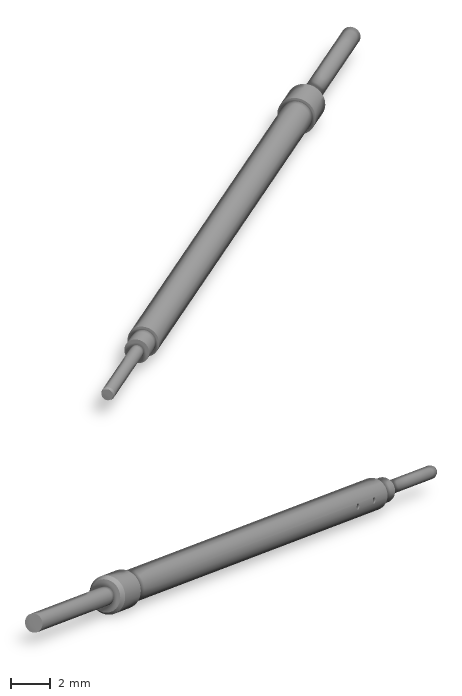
import cadquery as cq


rear_pin_length = 8.0
collar_length = 2.0
collar_bevel_length = 0.25
barrel_length = 28.0
neck_length = 1.2
front_pin_length = 5.4
tip_chamfer_length = 0.15

rear_pin_diameter = 0.98
collar_diameter = 2.0
collar_bevel_diameter = 1.7
barrel_diameter = 1.65
neck_diameter = 1.3
front_pin_diameter = 0.7
tip_flat_diameter = 0.6

dent_diameter = 0.31
dent_depth = 0.2
dent_spacing = 1.8
dent_center_from_barrel_end = 2.4

barrel_end = -barrel_length
neck_end = barrel_end - neck_length
tip_end = neck_end - front_pin_length
collar_end = collar_length
rear_end = collar_end + rear_pin_length


def turned_body():
    """Barrel, collar, neck and both pins, revolved from one half profile."""
    chamfer_end = tip_end + tip_chamfer_length
    bevel_start = collar_end - collar_bevel_length
    steps = [
        (tip_end, tip_flat_diameter, chamfer_end, front_pin_diameter),
        (chamfer_end, front_pin_diameter, neck_end, front_pin_diameter),
        (neck_end, neck_diameter, barrel_end, neck_diameter),
        (barrel_end, barrel_diameter, 0, barrel_diameter),
        (0, collar_diameter, bevel_start, collar_diameter),
        (bevel_start, collar_diameter, collar_end, collar_bevel_diameter),
        (collar_end, rear_pin_diameter, rear_end, rear_pin_diameter),
    ]
    points = [(tip_end, 0)]
    for start, start_diameter, end, end_diameter in steps:
        for point in ((start, start_diameter / 2), (end, end_diameter / 2)):
            if point != points[-1]:
                points.append(point)
    points.append((rear_end, 0))
    profile = cq.Workplane("YZ").polyline(points).close()
    return profile.revolve(360, (0, 0, 0), (1, 0, 0))


def dent_cutter(station):
    """Round cutter reaching into the -X side of the barrel by the dent depth."""
    dent_floor = -barrel_diameter / 2 + dent_depth
    return (
        cq.Workplane("YZ", origin=(dent_floor, station, 0))
        .circle(dent_diameter / 2)
        .extrude(-collar_diameter / 2)
    )


result = turned_body()

dent_center = barrel_end + dent_center_from_barrel_end
for side in (-1, 1):
    result = result.cut(dent_cutter(dent_center + side * dent_spacing / 2))